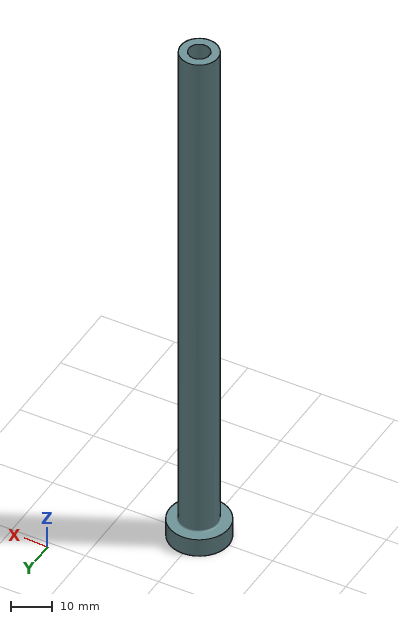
import cadquery as cq

total_length = 150.0
head_diameter = 16.0
head_height = 5.1
shaft_diameter = 10.0
bore_diameter = 5.5
neck_fillet = 0.5

head = cq.Workplane("XY").circle(head_diameter / 2).extrude(head_height)
shaft = cq.Workplane("XY").circle(shaft_diameter / 2).extrude(total_length)
body = head.union(shaft)

head_top = body.faces("<Z[1]")
neck_edge = head_top.edges(cq.selectors.RadiusNthSelector(0))
body = neck_edge.fillet(neck_fillet)

result = body.faces(">Z").workplane().hole(bore_diameter)